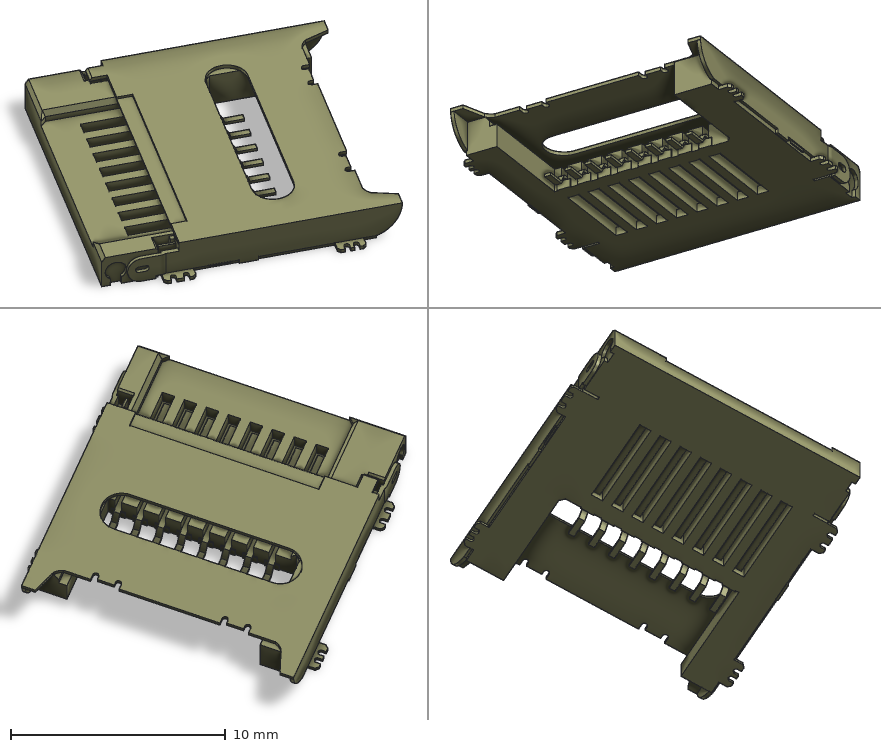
import cadquery as cq
import math


overall_width = 14.6
overall_depth = 14.5
overall_height = 1.95
half_width = overall_width / 2

base_half_width = 6.69
base_back = 13.29
deck_top = 1.2
rail_top = 1.74
rail_chamfer_drop = 0.25
rail_front_run = 0.18
rail_inner_run = 0.22
left_rail_inner = -4.15
right_rail_inner = 5.43
rail_flare = 0.28
opening_left = -4.66
opening_right = 5.02
opening_front = 8.12
opening_corner = 0.23

sheet = 0.19
shell_half_width = 6.82
shell_front = 3.71
shell_back = 13.0
shell_bottom = 0.25
shell_under = overall_height - sheet
ear_tip_half_width = 6.13
ear_root_half_width = 5.71
ear_root_y = 13.29
ear_root_blend = 5.3
ear_blend_middle = (5.46, 13.07)
side_end_radius = 1.81
wall_inner = shell_half_width - sheet

contact_count = 8
first_contact_x = -3.21
last_contact_x = 4.5
contact_pitch = (last_contact_x - first_contact_x) / (contact_count - 1)
slot_width = 0.61
slot_front = 1.8
slot_back = 7.3
shelf_back = 2.98
shelf_top = 0.44
contact_width = 0.32
contact_thickness = 0.15
contact_front = 1.97
lip_width = 0.72
lip_depth = 0.06
tail_back = 9.6
tail_bend_start = 8.35
tail_bend_end = 8.65
tail_rise = shelf_top


def box(x_range, y_range, z_range):
    """Box between the given limits on each axis."""
    size = [high - low for low, high in (x_range, y_range, z_range)]
    return cq.Workplane("XY").box(*size, centered=False).translate((x_range[0], y_range[0], z_range[0]))


def prism(points, z_bottom, z_top):
    """Plan outline raised between two heights."""
    return cq.Workplane("XY").workplane(offset=z_bottom).polyline(points).close().extrude(z_top - z_bottom)


def side_prism(points, x_start, x_end):
    """Outline in the Y-Z plane stretched along X."""
    return cq.Workplane("YZ").workplane(offset=x_start).polyline(points).close().extrude(x_end - x_start)


def both_sides(left_body):
    """A left-hand body together with its mirror image."""
    return left_body.union(left_body.mirror("YZ"))


def make_rail(inner, side):
    """Raised side rail, bevelled along its front and inner edges; side is -1 left, +1 right."""
    outer = side * base_half_width

    def outline(front_inset, inner_inset):
        shifted = inner + side * inner_inset
        corner_y = rail_flare - inner_inset * math.tan(math.radians(45 / 2))
        return [
            (outer, front_inset),
            (shifted - side * (corner_y - front_inset), front_inset),
            (shifted, corner_y),
            (shifted, base_back),
            (outer, base_back),
        ]

    shoulder = rail_top - rail_chamfer_drop
    lower = prism(outline(0, 0), deck_top, shoulder)
    bevel = (
        cq.Workplane("XY").workplane(offset=shoulder).polyline(outline(0, 0)).close()
        .workplane(offset=rail_chamfer_drop)
        .polyline(outline(rail_front_run, rail_inner_run)).close()
        .loft(ruled=True)
    )
    return lower.union(bevel)


def make_rear_opening():
    """Opening that leaves the base as two arms behind the contact block."""
    return prism(
        [
            (opening_left, base_back),
            (opening_left, opening_front + opening_corner),
            (opening_left + opening_corner, opening_front),
            (opening_right, opening_front),
            (opening_right, base_back),
        ],
        0,
        overall_height,
    )


pocket_front = 2.86
pocket_floor = 0.73
pocket_outer = 6.58
left_pocket_inner = 5.6
right_pocket_inner = 5.87
side_relief_floor = 1.45
rib_inner = 6.1
rib_outer = 6.22
rib_top = 1.43
step_front = 3.47
step_top = 1.64
slit_front = 2.73
slit_bevel = 0.1


def make_latch_pocket(inner, side):
    """Pocket at a front corner of the shell, with a thin rib, a rear step and a bevelled front slit."""
    pocket = box((inner, pocket_outer), (pocket_front, shell_front), (pocket_floor, overall_height))
    rib = box((rib_inner, rib_outer), (pocket_front, shell_front), (pocket_floor, rib_top))
    step = box((right_pocket_inner, rib_inner), (step_front, shell_front), (pocket_floor, step_top))
    relief = box(
        (pocket_outer, base_half_width),
        (pocket_front, shell_front),
        (side_relief_floor, overall_height),
    )
    slit = box((right_pocket_inner, base_half_width), (slit_front, pocket_front), (0, overall_height))
    bevel = side_prism(
        [
            (slit_front, rail_top - slit_bevel),
            (slit_front - slit_bevel, rail_top),
            (slit_front, rail_top),
        ],
        right_pocket_inner,
        base_half_width,
    )
    cut = pocket.cut(rib).cut(step).union(relief).union(slit).union(bevel)
    return cut if side > 0 else cut.mirror("YZ")


pivot_y = 0.69
pivot_z = 0.82
pivot_radius = 0.51
neck_width = 0.54
keyhole_depth = 0.19


def make_keyholes():
    """Round pivot recess with a neck open to the underside, in each side of the base."""
    start = -base_half_width
    recess = cq.Workplane("YZ").workplane(offset=start).center(pivot_y, pivot_z).circle(pivot_radius)
    recess = recess.extrude(keyhole_depth)
    neck = box(
        (start, start + keyhole_depth),
        (pivot_y - neck_width / 2, pivot_y + neck_width / 2),
        (0, pivot_z),
    )
    return both_sides(recess.union(neck))


def make_base():
    base = box((-base_half_width, base_half_width), (0, base_back), (0, deck_top))
    base = base.union(make_rail(left_rail_inner, -1)).union(make_rail(right_rail_inner, 1))
    base = base.cut(make_rear_opening()).cut(make_keyholes())
    return base.cut(make_latch_pocket(left_pocket_inner, -1)).cut(make_latch_pocket(right_pocket_inner, 1))


contact_places = [first_contact_x + contact_pitch * i for i in range(contact_count)]


def make_slot(x):
    """Contact slot: open through the deck at the back, with a shelf at the front."""
    sides = (x - slot_width / 2, x + slot_width / 2)
    through = box(sides, (shelf_back, slot_back), (0, deck_top))
    shelf = box(sides, (slot_front, shelf_back), (shelf_top, deck_top))
    groove = box(
        (x - contact_width / 2, x + contact_width / 2),
        (slot_back, opening_front + lip_depth),
        (shelf_top, deck_top),
    )
    return through.union(shelf).union(groove)


def make_lip(x):
    """Small lip on the deck's rear edge, around the contact."""
    return box(
        (x - lip_width / 2, x + lip_width / 2),
        (opening_front, opening_front + lip_depth),
        (0, shelf_top),
    )


def make_contact(x):
    """Flat spring lying on the shelf, and a tail that bends down to the board."""
    start = x - contact_width / 2
    end = x + contact_width / 2
    spring = box((start, end), (contact_front, opening_front), (shelf_top, shelf_top + contact_thickness))
    tail = side_prism(
        [
            (slot_back, tail_rise),
            (tail_bend_start, tail_rise),
            (tail_bend_end, 0),
            (tail_back, 0),
            (tail_back, contact_thickness),
            (tail_bend_end, contact_thickness),
            (tail_bend_start, tail_rise + contact_thickness),
            (slot_back, tail_rise + contact_thickness),
        ],
        start,
        end,
    )
    return spring.union(tail)


window_length = 9.97
window_width = 2.03
window_y = 9.01

tab_cut_x = 3.24
tab_cut_half_span = 0.57
notch_width = 0.29
notch_depth = 0.42
tab_setback = 0.12

strip_left = -4.09
strip_right = 5.39
strip_back = 4.48
strip_depth = 0.12

tongue_outer = 6.47
tongue_inner = 5.74
tongue_front = 2.86
tongue_chamfer = 0.12


def make_top_plate():
    right_edge = [
        (shell_half_width, shell_front),
        (shell_half_width, overall_depth),
        (ear_tip_half_width, overall_depth),
        (ear_root_half_width, ear_root_y),
    ]
    middle_x, middle_y = ear_blend_middle
    plate = (
        cq.Workplane("XY").workplane(offset=shell_under)
        .polyline(right_edge)
        .threePointArc((middle_x, middle_y), (ear_root_blend, shell_back))
        .lineTo(-ear_root_blend, shell_back)
        .threePointArc((-middle_x, middle_y), (-ear_root_half_width, ear_root_y))
        .lineTo(-ear_tip_half_width, overall_depth)
        .lineTo(-shell_half_width, overall_depth)
        .lineTo(-shell_half_width, shell_front)
        .close()
        .extrude(sheet)
    )
    window = (
        cq.Workplane("XY").workplane(offset=shell_under)
        .center(0, window_y).slot2D(window_length, window_width).extrude(sheet)
    )
    strip = box(
        (strip_left, strip_right),
        (shell_front, strip_back),
        (overall_height - strip_depth, overall_height),
    )
    plate = plate.cut(window).cut(strip)
    for tab_x in (-tab_cut_x, tab_cut_x):
        plate = plate.cut(make_back_tab_cut(tab_x))
    return plate


def make_back_tab_cut(tab_x):
    """Two round-bottomed notches that free a small, slightly set back tab."""
    heights = (shell_under, overall_height)
    half_notch = notch_width / 2
    cut = box(
        (tab_x - tab_cut_half_span, tab_x + tab_cut_half_span),
        (shell_back - tab_setback, shell_back),
        heights,
    )
    round_y = shell_back - notch_depth + half_notch
    for notch_x in (tab_x - tab_cut_half_span, tab_x + tab_cut_half_span):
        end = cq.Workplane("XY").workplane(offset=shell_under).center(notch_x, round_y)
        end = end.circle(half_notch).extrude(sheet)
        straight = box((notch_x - half_notch, notch_x + half_notch), (round_y, shell_back), heights)
        cut = cut.union(straight).union(end)
    return cut


def make_tongue():
    """Latch tongue at the front left of the shell, bevelled at its tip."""
    return side_prism(
        [
            (shell_front, shell_under),
            (tongue_front, shell_under),
            (tongue_front, overall_height - tongue_chamfer),
            (tongue_front + tongue_chamfer, overall_height),
            (shell_front, overall_height),
        ],
        -tongue_outer,
        -tongue_inner,
    )


hinge_top = 1.45
hinge_bottom = 0.07
hinge_tip = 1.2
hinge_offset = 0.06
jog_back = 3.07
jog_front = 2.79
hinge_slot_length = 0.64
hinge_slot_height = 0.34
hinge_slot_y = 1.91
hinge_slot_z = 0.8
hinge_foot_back = 2.57

stop_front = 6.61
stop_back = 7.55
stop_bottom = 0.05
low_edge_front = 5.17
low_edge_back = 6.22
low_edge_bottom = 0.13
low_edge_inset = 0.06


def make_left_wall():
    """Side wall with a round rear end, a downward stop tab and a lowered stretch of edge."""
    drop = overall_height - shell_bottom
    end_shift = side_end_radius - math.sqrt(side_end_radius**2 - drop**2)
    half_angle = math.asin(drop / side_end_radius) / 2
    arc_middle = (
        overall_depth - side_end_radius * (1 - math.cos(half_angle)),
        overall_height - side_end_radius * math.sin(half_angle),
    )
    wall = (
        cq.Workplane("YZ").workplane(offset=-shell_half_width)
        .moveTo(shell_front, overall_height)
        .lineTo(overall_depth, overall_height)
        .threePointArc(arc_middle, (overall_depth - end_shift, shell_bottom))
        .lineTo(shell_front, shell_bottom)
        .close()
        .extrude(sheet)
    )
    stop = box((-shell_half_width, -wall_inner), (stop_front, stop_back), (stop_bottom, shell_bottom))
    low_edge = box(
        (-shell_half_width + low_edge_inset, -wall_inner),
        (low_edge_front, low_edge_back),
        (low_edge_bottom, shell_bottom),
    )
    return wall.union(stop).union(low_edge)


def make_left_hinge():
    """Plate that continues the side wall forward, jogs outward and ends round."""
    jog_run = jog_back - jog_front
    jog_radius = (jog_run**2 + hinge_offset**2) / (2 * hinge_offset)
    jog_middle_y = jog_front + jog_run / 2
    jog_middle_offset = hinge_offset - jog_radius + math.sqrt(jog_radius**2 - (jog_run / 2) ** 2)
    strip = (
        cq.Workplane("XY")
        .moveTo(-shell_half_width, shell_front)
        .lineTo(-shell_half_width, jog_back)
        .threePointArc(
            (-shell_half_width - jog_middle_offset, jog_middle_y),
            (-shell_half_width - hinge_offset, jog_front),
        )
        .lineTo(-shell_half_width - hinge_offset, hinge_tip)
        .lineTo(-wall_inner - hinge_offset, hinge_tip)
        .lineTo(-wall_inner - hinge_offset, jog_front)
        .threePointArc((-wall_inner - jog_middle_offset, jog_middle_y), (-wall_inner, jog_back))
        .lineTo(-wall_inner, shell_front)
        .close()
        .extrude(hinge_top)
    )
    tip_radius = (hinge_top - hinge_bottom) / 2
    tip_y = hinge_tip + tip_radius
    side_view = (
        cq.Workplane("YZ").workplane(offset=-half_width)
        .moveTo(shell_front, hinge_top)
        .lineTo(tip_y, hinge_top)
        .threePointArc((hinge_tip, hinge_top - tip_radius), (tip_y, hinge_bottom))
        .lineTo(hinge_foot_back, hinge_bottom)
        .lineTo(hinge_foot_back, shell_bottom)
        .lineTo(shell_front, shell_bottom)
        .close()
        .extrude(half_width)
    )
    slot = (
        cq.Workplane("YZ").workplane(offset=-half_width)
        .center(hinge_slot_y, hinge_slot_z)
        .slot2D(hinge_slot_length, hinge_slot_height)
        .extrude(half_width)
    )
    return strip.intersect(side_view).cut(slot)


solder_tab_corner = 0.15
solder_notch_reach = 0.35
solder_notch_width = 0.26
rear_tab = {"front": 11.25, "back": 12.65, "notches": (11.74, 12.19)}
front_tab = {"front": 2.88, "back": 4.42, "notches": (3.35, 3.97)}


def make_left_solder_tab(tab):
    """Flat tab on the board with two round-ended notches in its outer edge."""
    body = box((-half_width, -wall_inner), (tab["front"], tab["back"]), (0, sheet))
    body = body.edges("|Z and <X").chamfer(solder_tab_corner)
    for y in tab["notches"]:
        notch = cq.Workplane("XY").center(-half_width, y)
        notch = notch.slot2D(2 * solder_notch_reach, solder_notch_width).extrude(sheet)
        body = body.cut(notch)
    return body


result = make_base()
for place in contact_places:
    result = result.union(make_lip(place)).cut(make_slot(place)).union(make_contact(place))
result = result.union(make_top_plate()).union(make_tongue())
for left_body in (
    make_left_wall(),
    make_left_hinge(),
    make_left_solder_tab(rear_tab),
    make_left_solder_tab(front_tab),
):
    result = result.union(both_sides(left_body))